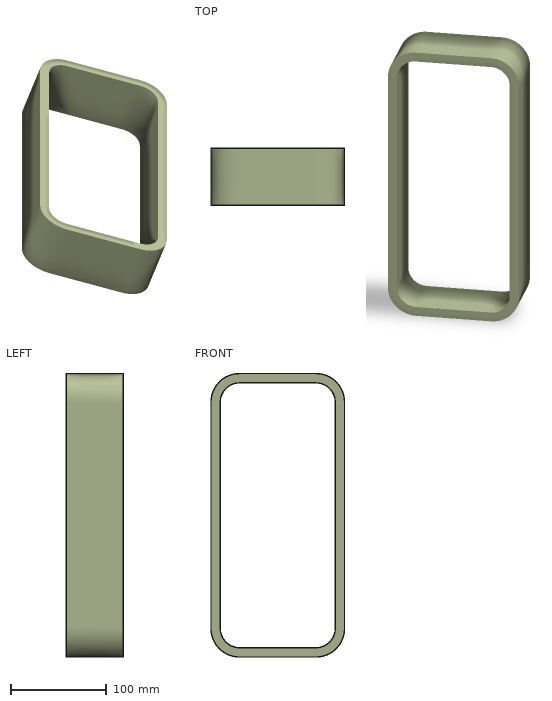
import cadquery as cq

width = 140.5
depth = 60.0
height = 298.0

wall = 10.0
outer_radius = 30.0
inner_radius = outer_radius - wall


def rounded_block(size_x, size_z, corner_radius):
    """Centred block of full depth with its four Y-direction edges rounded."""
    return cq.Workplane("XY").box(size_x, depth, size_z).edges("|Y").fillet(corner_radius)


outer_body = rounded_block(width, height, outer_radius)
opening = rounded_block(width - 2 * wall, height - 2 * wall, inner_radius)

result = outer_body.cut(opening)